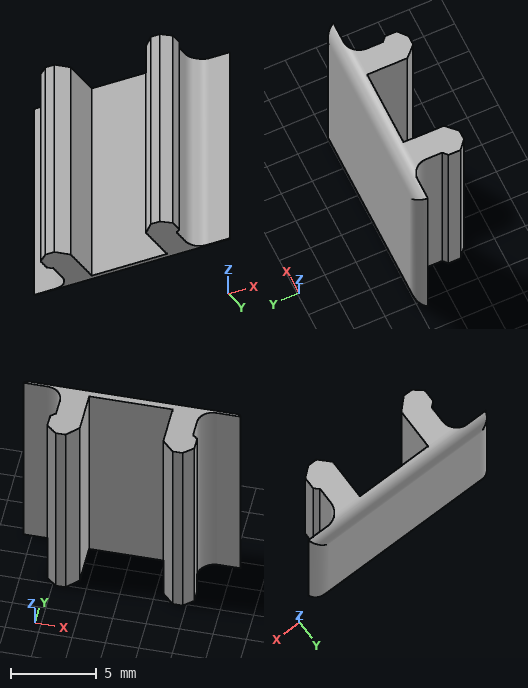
import cadquery as cq
import math

width = 13.0
length = 13.0
depth = 4.3

plate_thickness = 1.0
lip_thickness = 0.7
edge_radius = 1.0
root_radius = 1.0

leg_inner = 2.5
leg_outer = 4.1
bead_outer = 4.4
tip_inner = 3.2
tip_outer = 3.8

bead_start = 2.75
bead_full = 3.02
bead_end = 3.8
inner_chamfer_start = 3.6

arc_centre_x = width / 2 - math.sqrt(edge_radius**2 - (edge_radius - lip_thickness) ** 2)
arc_end_angle = math.asin((edge_radius - lip_thickness) / edge_radius)
arc_mid_angle = (arc_end_angle + math.pi / 2) / 2
edge_arc_middle = (
    arc_centre_x + edge_radius * math.cos(arc_mid_angle),
    -edge_radius + edge_radius * math.sin(arc_mid_angle),
)

root_centre_x = leg_outer + root_radius
root_centre_y = -lip_thickness - root_radius
root_arc_middle = (
    root_centre_x - root_radius * math.cos(math.pi / 4),
    root_centre_y + root_radius * math.sin(math.pi / 4),
)


def half_profile():
    """Right half of the constant cross-section, extruded along Z."""
    return (
        cq.Workplane("XY")
        .workplane(offset=-length / 2)
        .moveTo(0, 0)
        .lineTo(arc_centre_x, 0)
        .threePointArc(edge_arc_middle, (width / 2, -lip_thickness))
        .lineTo(root_centre_x, -lip_thickness)
        .threePointArc(root_arc_middle, (leg_outer, root_centre_y))
        .lineTo(leg_outer, -bead_start)
        .lineTo(bead_outer, -bead_full)
        .lineTo(bead_outer, -bead_end)
        .lineTo(tip_outer, -depth)
        .lineTo(tip_inner, -depth)
        .lineTo(leg_inner, -inner_chamfer_start)
        .lineTo(leg_inner, -plate_thickness)
        .lineTo(0, -plate_thickness)
        .close()
        .extrude(length)
    )


def rounded_end_envelope():
    """Block that rounds the back edges at both Z ends."""
    return (
        cq.Workplane("XY")
        .box(width, depth, length)
        .translate((0, -depth / 2, 0))
        .faces(">Y")
        .edges("|X")
        .fillet(edge_radius)
    )


right_half = half_profile()
profile_body = right_half.union(right_half.mirror("YZ")).clean()
result = profile_body.intersect(rounded_end_envelope())